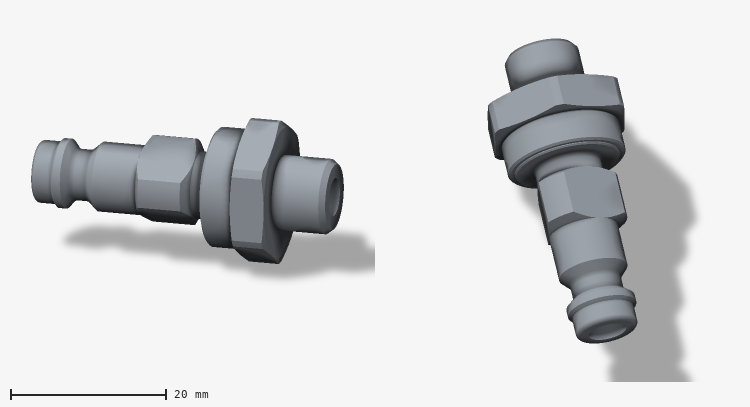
import cadquery as cq
import math

total_length = 39.5
bore_diameter = 4.95

tip_radius = 8.1 / 2
tip_rounding = 0.65
tip_end = 2.7
collar_start = 3.12
collar_end = 4.1
shank_radius = 9.0 / 2
groove_radius = 6.65 / 2
groove_blend_radius = 3.6
groove_entry_blend = 4.9
groove_floor_start = 5.55
groove_floor_end = 6.68
groove_exit_blend = 7.35
shank_start = 8.37
wrench_start = 14.05
wrench_radius = 5.92
wrench_flat_distance = 4.45
wrench_flat_count = 3
cone_slope = math.tan(math.radians(60))
neck_radius = 8.7 / 2
neck_start = 21.45
neck_fillet = 0.47
disc_front = 23.42
disc_radius = 13.85 / 2
disc_chamfer = 0.2

flange_front = 23.7
flange_back = 27.95
flange_radius = 15.5 / 2
flange_chamfer = 0.28
recess_radius = 14.0 / 2
recess_floor = 27.7
nut_back = 32.5
nut_across_flats = 17.0
nut_corner_radius = 19.0 / 2
nut_face_radius = 8.45
nut_chamfer_length = 0.28
stem_radius = 9.7 / 2
stem_chamfer_length = 0.75
stem_end_radius = 4.25


def revolve_about_x(outline):
    """Turn a closed half-section, drawn as (x, radius), about the X axis."""
    return outline.close().revolve(360, (0, 0, 0), (1, 0, 0))


def cylinder(start, end, radius):
    return cq.Workplane("YZ", origin=(start, 0, 0)).circle(radius).extrude(end - start)


def bore(start, end):
    return cylinder(start, end, bore_diameter / 2)


def make_plug_blank():
    wrench_rise = (wrench_radius - shank_radius) / cone_slope
    wrench_fall = (wrench_radius - neck_radius) / cone_slope
    outline = (
        cq.Workplane("XY")
        .moveTo(0, 0)
        .lineTo(0, tip_radius - tip_rounding)
        .radiusArc((tip_rounding, tip_radius), tip_rounding)
        .lineTo(tip_end, tip_radius)
        .lineTo(collar_start, shank_radius)
        .lineTo(collar_end, shank_radius)
        .lineTo(groove_entry_blend, groove_blend_radius)
        .tangentArcPoint((groove_floor_start, groove_radius), relative=False)
        .lineTo(groove_floor_end, groove_radius)
        .tangentArcPoint((groove_exit_blend, groove_blend_radius), relative=False)
        .lineTo(shank_start, shank_radius)
        .lineTo(wrench_start, shank_radius)
        .lineTo(wrench_start + wrench_rise, wrench_radius)
        .lineTo(neck_start - wrench_fall, wrench_radius)
        .lineTo(neck_start, neck_radius)
        .lineTo(disc_front - neck_fillet, neck_radius)
        .tangentArcPoint((disc_front, neck_radius + neck_fillet), relative=False)
        .lineTo(disc_front, disc_radius - disc_chamfer)
        .lineTo(disc_front + disc_chamfer, disc_radius)
        .lineTo(recess_floor, disc_radius)
        .lineTo(recess_floor, 0)
    )
    return revolve_about_x(outline)


def wrench_flat(angle):
    """Block outside one wrench flat; at angle 0 the flat faces +Y."""
    depth = wrench_radius
    block = cq.Workplane("XY").box(
        neck_start - wrench_start, depth, 2 * wrench_radius, centered=(False, False, True)
    )
    return block.translate((wrench_start, wrench_flat_distance, 0)).rotate((0, 0, 0), (1, 0, 0), angle)


def make_plug():
    plug = make_plug_blank()
    for index in range(wrench_flat_count):
        plug = plug.cut(wrench_flat(index * 360 / wrench_flat_count))
    return plug.cut(bore(0, recess_floor))


def make_flange():
    flange = cylinder(flange_front, flange_back, flange_radius)
    return flange.faces("<X or >X").chamfer(flange_chamfer)


def make_nut():
    """Hexagon with corners at +Z and -Z, rounded and chamfered by a turned envelope."""
    across_corners = nut_across_flats / math.cos(math.pi / 6)
    hexagon = (
        cq.Workplane("YZ", origin=(flange_back, 0, 0))
        .transformed(rotate=(0, 0, 90))
        .polygon(6, across_corners)
        .extrude(nut_back - flange_back)
    )
    envelope = revolve_about_x(
        cq.Workplane("XY")
        .moveTo(flange_back, 0)
        .lineTo(flange_back, nut_face_radius)
        .lineTo(flange_back + nut_chamfer_length, nut_corner_radius)
        .lineTo(nut_back - nut_chamfer_length, nut_corner_radius)
        .lineTo(nut_back, nut_face_radius)
        .lineTo(nut_back, 0)
    )
    return hexagon.intersect(envelope)


def make_stem():
    stem = cylinder(nut_back, total_length, stem_radius)
    return stem.faces(">X").chamfer(stem_chamfer_length, stem_radius - stem_end_radius)


def make_housing():
    housing = make_flange().union(make_nut()).union(make_stem())
    recess = cylinder(flange_front, recess_floor, recess_radius)
    return housing.cut(recess).cut(bore(recess_floor, total_length))


plug = make_plug()
housing = make_housing()

result = cq.Compound.makeCompound([plug.solids().val(), housing.solids().val()])